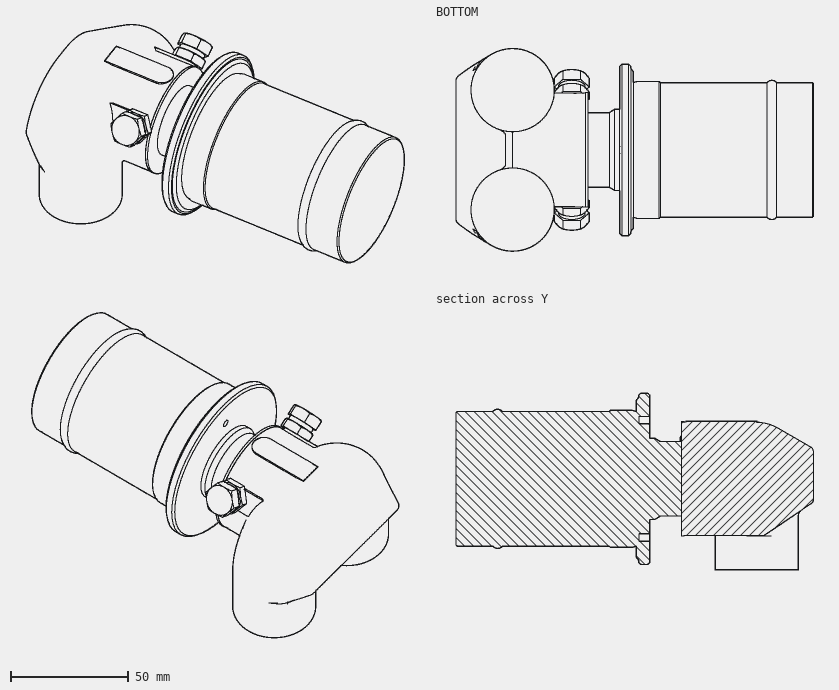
import cadquery as cq
import math

total_length = 152.6
total_width = 86.5
port_bottom_z = -38.8

port_diameter = 35.5
port_radius = port_diameter / 2
port_y = total_width / 2 - port_radius
bend_y = 3.0
bend_z = -16.0
bend_radius = port_y - bend_y
tube_x = 24.3
nose_angle = 30.0
nose_edge_fillet = 2.7
underside_angle = 34.0
underside_start_z = -9.9
port_blend = 2.1
port_flare_reach = 9.9

sleeve_radius = 24.3
sleeve_end_x = 56.5
lip_radius = 24.5
lip_length = 1.0
sleeve_blend = 0.9

pad_width = 10.0
pad_centre_x = 49.5
plain_pad_height = 24.6
plug_pad_height = 25.0
plain_pad_angle = 90.0
plug_angles = [30.0, 150.0]

hex_across_flats = 13.0
hex_chamfer_drop = 0.6
nut_height = 4.0
neck_diameter = 11.5
neck_height = 2.0
cap_height = 4.9

shaft_radius = 31.9 / 2
hub_radius = 34.8 / 2
hub_cone_x = 65.5
hub_x = 67.8
flange_x = 69.9
flange_back_x = 75.7
flange_radius = 36.6
flange_chamfer = 0.9
flange_rear_rim_x = 73.7
flange_step_radius = 69.9 / 2
flange_back_radius = 33.5
collar_radius = 29.3
collar_full_x = 77.4
collar_end_x = 86.7
barrel_radius = 57.5 / 2
bead_x = 134.8
bead_half_width = 2.0
bead_radius = 29.8
barrel_chamfer = 0.6
flange_hole_diameter = 3.0
flange_hole_radius = 25.0
flange_hole_depth = 4.6


def head_outline(plane):
    """Half section of the bend: a flat nose, a tangent cone, the round tube, filled to the bend axis."""
    angle = math.radians(nose_angle)
    tangent_x = tube_x - port_radius * math.sin(angle)
    tangent_r = bend_radius + port_radius * math.cos(angle)
    nose_r = tangent_r - tangent_x * math.tan(angle)
    return (
        cq.Workplane(plane)
        .moveTo(0, 0)
        .lineTo(0, nose_r)
        .lineTo(tangent_x, tangent_r)
        .threePointArc((tube_x + port_radius, bend_radius), (tube_x, bend_radius - port_radius))
        .lineTo(tube_x, 0)
        .close()
    )


def make_bend():
    """Both quarter bends and the straight piece between them."""
    bend_plane = cq.Plane(origin=(0, bend_y, bend_z), xDir=(1, 0, 0), normal=(0, 0, 1))
    quarter = head_outline(bend_plane).revolve(90, (0, 0), (1, 0))
    middle_plane = cq.Plane(origin=(0, bend_y, bend_z), xDir=(1, 0, 0), normal=(0, -1, 0))
    middle = head_outline(middle_plane).extrude(2 * bend_y)
    return middle.union(quarter).union(quarter.mirror("XZ"))


def make_ports(height):
    """Two vertical cylinders standing on the bottom plane."""
    return (
        cq.Workplane("XY", origin=(tube_x, 0, port_bottom_z))
        .pushPoints([(0, port_y), (0, -port_y)])
        .circle(port_radius)
        .extrude(height)
    )


def underside_wedge():
    """Everything below the sloping underside of the nose."""
    slope = math.tan(math.radians(underside_angle))
    return (
        cq.Workplane("XZ", origin=(0, total_width, 0))
        .moveTo(0, underside_start_z)
        .lineTo(tube_x, underside_start_z - tube_x * slope)
        .lineTo(tube_x, port_bottom_z)
        .lineTo(0, port_bottom_z)
        .close()
        .extrude(2 * total_width)
    )


def underside_plane_solid():
    """Slab whose lower face is the sloping underside."""
    slope = math.tan(math.radians(underside_angle))
    return (
        cq.Workplane("XZ", origin=(0, total_width, 0))
        .moveTo(-tube_x, underside_start_z + tube_x * slope)
        .lineTo(2 * tube_x, underside_start_z - 2 * tube_x * slope)
        .lineTo(2 * tube_x, tube_x)
        .lineTo(-tube_x, tube_x)
        .close()
        .extrude(2 * total_width)
    )


def make_port_flare():
    """Concave blend from the sloping underside down onto the port at +Y."""
    slab = underside_plane_solid()
    port = (
        cq.Workplane("XY", origin=(tube_x, port_y, 2 * port_bottom_z))
        .circle(port_radius)
        .extrude(-2 * port_bottom_z)
    )
    blended = slab.union(port).edges("%ELLIPSE").fillet(port_blend)
    reach = cq.Workplane("XY").box(tube_x, port_y + port_flare_reach, sleeve_radius, centered=False)
    return blended.cut(slab).intersect(reach.translate((0, 0, -sleeve_radius)))


def nose_rim_edges():
    """Selector for the rim of the flat nose and the two sloping edges that run back from its lower corners."""
    low = bend_z + port_radius / 10
    half_width = total_width / 2
    right = cq.selectors.BoxSelector((0, -half_width, low), (tube_x, -port_y, underside_start_z))
    left = cq.selectors.BoxSelector((0, port_y, low), (tube_x, half_width, underside_start_z))
    return cq.selectors.DirectionMinMaxSelector(cq.Vector(1, 0, 0), False) + right + left


def make_head():
    """Bend with the web between the ports, cut along the sloping underside, on its two ports."""
    web = cq.Workplane("XY").box(tube_x, 2 * port_y, bend_z + sleeve_radius, centered=(False, True, False))
    web = web.translate((0, 0, -sleeve_radius))
    bend = make_bend()
    wedge = underside_wedge().cut(make_ports(-port_bottom_z))
    head = bend.union(web).cut(wedge).union(make_ports(bend_z - port_bottom_z))
    head = head.edges(nose_rim_edges()).fillet(nose_edge_fillet)
    flare = make_port_flare()
    return head.union(flare).union(flare.mirror("XZ"))


def make_sleeve():
    """Cylinder around the shaft with a slightly larger lip at its open end."""
    body = cq.Workplane("YZ", origin=(tube_x, 0, 0)).circle(sleeve_radius).extrude(sleeve_end_x - tube_x)
    lip = cq.Workplane("YZ", origin=(sleeve_end_x - lip_length, 0, 0)).circle(lip_radius).extrude(lip_length)
    return body.union(lip)


def radial_plane(x, radius, angle):
    """Plane square to the direction at the given angle about the X axis, measured from +Y toward +Z."""
    direction = (0, math.cos(math.radians(angle)), math.sin(math.radians(angle)))
    origin = (x, radius * direction[1], radius * direction[2])
    return cq.Plane(origin=origin, xDir=(1, 0, 0), normal=direction)


def make_pad(angle, height):
    """Flat pad, rounded toward the open end, running back into the bend."""
    plane = radial_plane(pad_centre_x, 0, angle)
    length = pad_centre_x - tube_x
    bar = cq.Workplane(plane).center(-length / 2, 0).rect(length, pad_width).extrude(height)
    return bar.union(cq.Workplane(plane).circle(pad_width / 2).extrude(height))


def make_hexagon(angle, base, height):
    """Hexagon with a corner along X and its outer corners chamfered."""
    plane = radial_plane(pad_centre_x, base, angle)
    corner_radius = hex_across_flats / 2 / math.cos(math.radians(30))
    prism = cq.Workplane(plane).polygon(6, 2 * corner_radius).extrude(height)
    corner_drop = hex_chamfer_drop
    turned = (
        cq.Workplane(plane)
        .circle(corner_radius)
        .extrude(height)
        .faces(cq.selectors.DirectionMinMaxSelector(plane.zDir, True))
        .chamfer(corner_drop, corner_radius - hex_across_flats / 2)
    )
    return prism.intersect(turned)


def make_plug(angle):
    """Nut, round neck and hexagon cap stacked on a pad."""
    neck_base = plug_pad_height + nut_height
    cap_base = neck_base + neck_height
    neck_plane = radial_plane(pad_centre_x, neck_base, angle)
    nut = make_hexagon(angle, plug_pad_height, nut_height)
    neck = cq.Workplane(neck_plane).circle(neck_diameter / 2).extrude(neck_height)
    cap = make_hexagon(angle, cap_base, cap_height)
    return nut.union(neck).union(cap)


def make_housing():
    """Head, sleeve, pads and plugs as one body."""
    junction = cq.selectors.BoxSelector(
        (tube_x + 1.5, -sleeve_radius - 0.2, bend_z - 0.2),
        (tube_x + port_radius + 0.2, sleeve_radius + 0.2, sleeve_radius),
        boundingbox=True,
    )
    housing = make_head().union(make_sleeve())
    housing = housing.edges(junction).fillet(sleeve_blend)
    housing = housing.union(make_pad(plain_pad_angle, plain_pad_height))
    for angle in plug_angles:
        housing = housing.union(make_pad(angle, plug_pad_height)).union(make_plug(angle))
    return housing


def make_rotor():
    """Turned shaft, flange and beaded barrel, with two blind holes in the flange."""
    rotor = (
        cq.Workplane("XY")
        .moveTo(sleeve_end_x, 0)
        .lineTo(sleeve_end_x, shaft_radius)
        .lineTo(hub_cone_x, shaft_radius)
        .lineTo(hub_x, hub_radius)
        .lineTo(flange_x, hub_radius)
        .lineTo(flange_x, flange_radius - flange_chamfer)
        .lineTo(flange_x + flange_chamfer, flange_radius)
        .lineTo(flange_rear_rim_x, flange_radius)
        .lineTo(flange_rear_rim_x + flange_chamfer, flange_radius - flange_chamfer)
        .lineTo(flange_rear_rim_x + flange_chamfer, flange_step_radius)
        .lineTo(flange_back_x, flange_back_radius)
        .lineTo(flange_back_x, barrel_radius)
        .lineTo(collar_full_x, collar_radius)
        .lineTo(collar_end_x, collar_radius)
        .lineTo(collar_end_x + collar_radius - barrel_radius, barrel_radius)
        .lineTo(bead_x - bead_half_width, barrel_radius)
        .threePointArc((bead_x, bead_radius), (bead_x + bead_half_width, barrel_radius))
        .lineTo(total_length - barrel_chamfer, barrel_radius)
        .lineTo(total_length, barrel_radius - barrel_chamfer)
        .lineTo(total_length, 0)
        .close()
        .revolve(360, (0, 0), (1, 0))
    )
    holes = (
        cq.Workplane("YZ", origin=(flange_x, 0, 0))
        .pushPoints([(0, flange_hole_radius), (0, -flange_hole_radius)])
        .circle(flange_hole_diameter / 2)
        .extrude(flange_hole_depth)
    )
    return rotor.cut(holes)


housing = make_housing()
rotor = make_rotor()

result = cq.Compound.makeCompound([housing.val(), rotor.val()])